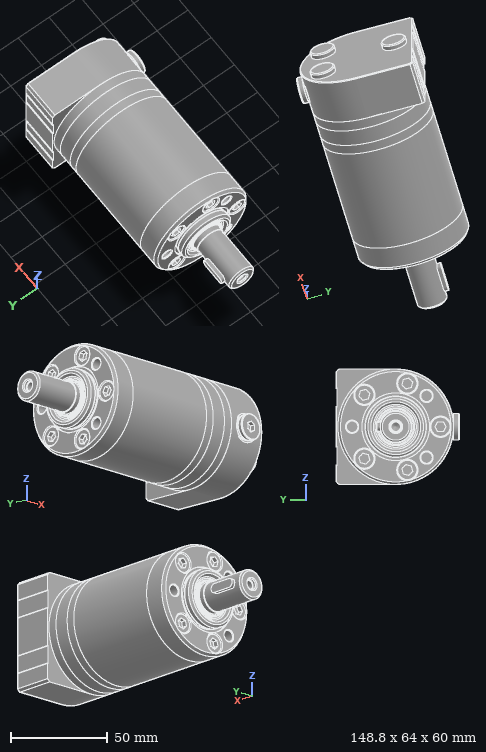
import cadquery as cq
import math


total_length = 148.8
collar_start = 27.8
hub_face = 30.0
flange_face = 34.8
flange_end = 48.0
housing_end = 103.5
front_plate_end = 108.6
gear_ring_end = 117.0
rear_plate_end = 122.4
block_end = 145.8
block_middle = (rear_plate_end + block_end) / 2

barrel_diameter = 60.0
barrel_radius = barrel_diameter / 2
flange_chamfer_length = 1.8
flange_chamfer_depth = 1.3
hub_diameter = 31.8
hub_neck_diameter = 31.2
hub_neck_length = 0.5
hub_chamfer_length = 1.2
hub_chamfer_depth = 1.5
hub_groove_diameter = 35.1
hub_groove_depth = 1.2

seal_mouth_diameter = 25.9
seal_throat_diameter = 23.2
seal_mouth_depth = 1.5
seal_groove_outer_diameter = 21.4
seal_groove_inner_diameter = 19.6
seal_groove_depth = 2.1
seal_lip_diameter = 18.5
seal_lip_depth = 0.9

screw_circle_radius = 23.2
screw_angles = [0, 75, 134.5, -134.5, -75]
counterbore_diameter = 11.0
counterbore_depth = 4.8
screw_head_diameter = 10.0
screw_head_recess = 0.6
socket_width = 5.0
socket_depth = 3.0
tapped_circle_radius = 22.6
tapped_angles = [45, 180, -45]
tapped_diameter = 6.0
tapped_mouth_diameter = 6.8

shaft_diameter = 16.0
shaft_chamfer = 1.0
collar_diameter = 17.0
center_mouth_diameter = 7.1
center_thread_diameter = 6.0
center_thread_depth = 2.2
center_drill_diameter = 4.9
center_drill_depth = 9.7
drill_tip_angle = 118.0

key_start = 4.5
key_length = 15.9
key_width = 4.9
key_top = 10.0

port_face = 31.0
block_corner = 1.5
block_end_chamfer = 0.5
port_groove_offset = 15.2
port_groove_width = 9.5
port_groove_depth = 0.5

side_plug_diameter = 14.0
side_plug_top = 33.0
side_plug_head_length = 3.0
side_plug_neck_diameter = 13.4
side_spotface_diameter = 15.5
side_spotface_level = 28.9
rear_plug_diameter = 13.1
rear_plug_circle_radius = 21.3
rear_plug_angles = [36.5, 180, -36.5]
plug_chamfer = 0.6


def disc(start, end, diameter, y=0.0, z=0.0):
    """Cylinder along X from start to end."""
    plane = cq.Workplane("YZ", origin=(start, y, z))
    return plane.circle(diameter / 2).extrude(end - start)


def revolved(profile):
    """Solid of revolution about X from (x, radius) points."""
    return cq.Workplane("XY").polyline(profile).close().revolve(360, (0, 0, 0), (1, 0, 0))


def on_circle(radius, angle):
    """Y and Z of a point on a circle about the axis, the angle running from -Y to +Z."""
    turn = math.radians(angle)
    return -radius * math.cos(turn), radius * math.sin(turn)


def hex_socket(plane, depth, turn=0.0):
    """Hexagonal prism raised from a plane; a negative depth goes against its normal."""
    corner_diameter = socket_width / math.cos(math.radians(30))
    return plane.transformed(rotate=(0, 0, turn)).polygon(6, corner_diameter).extrude(depth)


def flange_blank():
    face_radius = barrel_radius - flange_chamfer_depth
    hub_radius = hub_diameter / 2
    neck_radius = hub_neck_diameter / 2
    neck_start = flange_face - hub_neck_length
    groove_radius = hub_groove_diameter / 2
    groove_floor = flange_face + hub_groove_depth
    return revolved([
        (hub_face, 0),
        (hub_face, hub_radius - hub_chamfer_depth),
        (hub_face + hub_chamfer_length, hub_radius),
        (neck_start, hub_radius),
        (neck_start, neck_radius),
        (groove_floor, neck_radius),
        (groove_floor, groove_radius),
        (flange_face, groove_radius),
        (flange_face, face_radius),
        (flange_face + flange_chamfer_length, barrel_radius),
        (flange_end, barrel_radius),
        (flange_end, 0),
    ])


def seal_recess():
    floor = hub_face + seal_mouth_depth
    groove_floor = hub_face + seal_groove_depth
    lip = hub_face + seal_lip_depth
    return revolved([
        (hub_face, 0),
        (hub_face, seal_mouth_diameter / 2),
        (floor, seal_throat_diameter / 2),
        (floor, seal_groove_outer_diameter / 2),
        (groove_floor, seal_groove_outer_diameter / 2),
        (groove_floor, seal_groove_inner_diameter / 2),
        (floor, seal_groove_inner_diameter / 2),
        (floor, seal_lip_diameter / 2),
        (lip, seal_lip_diameter / 2),
        (lip, 0),
    ])


def screw_head(angle):
    y, z = on_circle(screw_circle_radius, angle)
    top = flange_face + screw_head_recess
    head = disc(top, flange_face + counterbore_depth, screw_head_diameter, y, z)
    socket_plane = cq.Workplane("YZ", origin=(top, y, z))
    return head.cut(hex_socket(socket_plane, socket_depth, -angle))


def tapped_hole(angle):
    y, z = on_circle(tapped_circle_radius, angle)
    radius = tapped_diameter / 2
    mouth_radius = tapped_mouth_diameter / 2
    hole = revolved([
        (flange_face, 0),
        (flange_face, mouth_radius),
        (flange_face + mouth_radius - radius, radius),
        (flange_end, radius),
        (flange_end, 0),
    ])
    return hole.translate((0, y, z))


def make_flange():
    flange = flange_blank().cut(seal_recess()).cut(disc(hub_face, flange_end, collar_diameter))
    for angle in screw_angles:
        y, z = on_circle(screw_circle_radius, angle)
        flange = flange.cut(disc(flange_face, flange_face + counterbore_depth, counterbore_diameter, y, z))
        flange = flange.union(screw_head(angle))
    for angle in tapped_angles:
        flange = flange.cut(tapped_hole(angle))
    return flange


def make_shaft():
    shaft = disc(0, collar_start, shaft_diameter).faces("<X").chamfer(shaft_chamfer)
    shaft = shaft.union(disc(collar_start, flange_end, collar_diameter))

    mouth_radius = center_mouth_diameter / 2
    thread_radius = center_thread_diameter / 2
    drill_radius = center_drill_diameter / 2
    tip_length = drill_radius / math.tan(math.radians(drill_tip_angle / 2))
    center_hole = revolved([
        (0, 0),
        (0, mouth_radius),
        (mouth_radius - thread_radius, thread_radius),
        (center_thread_depth, thread_radius),
        (center_thread_depth, drill_radius),
        (center_drill_depth, drill_radius),
        (center_drill_depth + tip_length, 0),
    ])

    key_middle = key_start + key_length / 2
    key = cq.Workplane("XZ").center(key_middle, 0).slot2D(key_length, key_width).extrude(-key_top)
    return shaft.union(key).cut(center_hole)


def side_plug():
    plane = cq.Workplane("XZ", origin=(block_middle, -side_plug_top, 0))
    plug = plane.circle(side_plug_diameter / 2).extrude(-side_plug_head_length)
    plug = plug.faces("<Y").chamfer(plug_chamfer)
    neck = plane.circle(side_plug_neck_diameter / 2).extrude(side_spotface_level - side_plug_top)
    return plug.union(neck).cut(hex_socket(plane, -socket_depth, 30))


def rear_plug(angle):
    y, z = on_circle(rear_plug_circle_radius, angle)
    return disc(block_end, total_length, rear_plug_diameter, y, z).faces(">X").chamfer(plug_chamfer)


def make_port_block():
    length = block_end - rear_plate_end
    square_side = cq.Workplane("XY").box(length, port_face, barrel_diameter, centered=(False, False, True))
    square_side = square_side.translate((rear_plate_end, 0, 0)).edges("|X and >Y").chamfer(block_corner)
    block = disc(rear_plate_end, block_end, barrel_diameter).union(square_side)
    block = block.faces(">X").chamfer(block_end_chamfer)

    for z in (-port_groove_offset, port_groove_offset):
        groove = cq.Workplane("XY").box(2 * length, 2 * port_groove_depth, port_groove_width)
        block = block.cut(groove.translate((block_middle, port_face, z)))

    spotface = cq.Workplane("XZ", origin=(block_middle, -side_spotface_level, 0))
    block = block.cut(spotface.circle(side_spotface_diameter / 2).extrude(barrel_radius))
    block = block.union(side_plug())
    for angle in rear_plug_angles:
        block = block.union(rear_plug(angle))
    return block


shaft = make_shaft()
flange = make_flange()
housing = disc(flange_end, housing_end, barrel_diameter)
front_plate = disc(housing_end, front_plate_end, barrel_diameter)
gear_ring = disc(front_plate_end, gear_ring_end, barrel_diameter)
rear_plate = disc(gear_ring_end, rear_plate_end, barrel_diameter)
port_block = make_port_block()

result = cq.Compound.makeCompound([
    shaft.val(),
    flange.val(),
    housing.val(),
    front_plate.val(),
    gear_ring.val(),
    rear_plate.val(),
    port_block.val(),
])